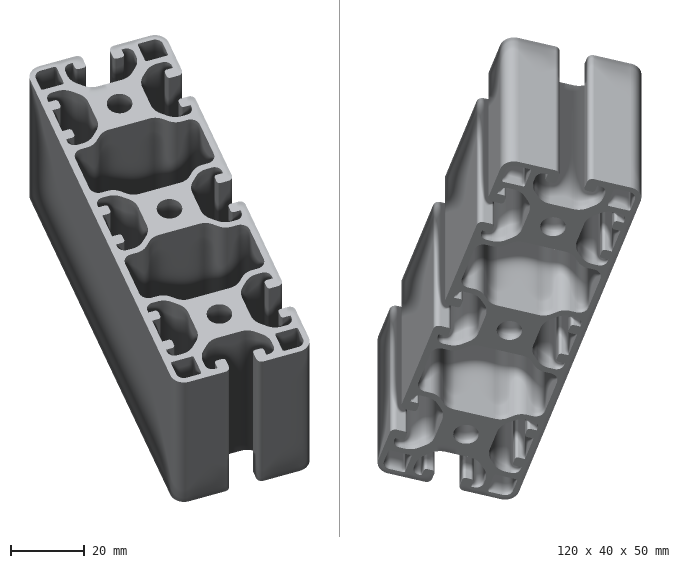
import cadquery as cq

LENGTH = 120.0
HEIGHT = 50.0
CELL_COUNT = 3
CELL = LENGTH / CELL_COUNT
HALF_CELL = CELL / 2
OUTER_RADIUS = 4.0

FLOOR_DISTANCE = 7.8
SLOT_CEILING = 18.0
SLOT_HALF_WIDTH = 10.0
SLANT_START = 5.5
SLANT_RADIUS = 5.0
CEILING_RADIUS = 2.2

OPENING_HALF_WIDTH = 4.0
LIP_WIDTH = 3.1
LIP_TIP_DISTANCE = 15.4
LIP_TIP_RADIUS = 0.8
MOUTH_RADIUS = 1.5

WEB_THICKNESS = 1.8
CAVITY_HALF_WIDTH = HALF_CELL - FLOOR_DISTANCE
CAVITY_NECK_HALF_WIDTH = HALF_CELL - SLOT_HALF_WIDTH - WEB_THICKNESS
CAVITY_SLANT_START = 7.8
CAVITY_BEND_RADIUS = 4.5
CAVITY_CORNER_RADIUS = 2.6

HOLLOW_INNER = SLOT_HALF_WIDTH + WEB_THICKNESS
HOLLOW_OUTER = 18.4
HOLLOW_OUTER_RADIUS = 2.3
HOLLOW_SIDE_RADIUS = 0.5

CORE_HOLE_RADIUS = 3.5


def box_between(x_low, x_high, y_low, y_high):
    """Full-height block between two X and two Y limits."""
    return (
        cq.Workplane("XY")
        .center((x_low + x_high) / 2, (y_low + y_high) / 2)
        .rect(x_high - x_low, y_high - y_low)
        .extrude(HEIGHT)
    )


def slot_chamber():
    """Undercut chamber of a slot facing +Y, without lips or opening."""
    slant_end = FLOOR_DISTANCE + SLOT_HALF_WIDTH - SLANT_START
    chamber = (
        cq.Workplane("XY")
        .polyline([
            (-SLANT_START, FLOOR_DISTANCE),
            (SLANT_START, FLOOR_DISTANCE),
            (SLOT_HALF_WIDTH, slant_end),
            (SLOT_HALF_WIDTH, SLOT_CEILING),
            (-SLOT_HALF_WIDTH, SLOT_CEILING),
            (-SLOT_HALF_WIDTH, slant_end),
        ])
        .close()
        .extrude(HEIGHT)
    )
    chamber = chamber.faces(">Y").edges("|Z").fillet(CEILING_RADIUS)
    bends = cq.selectors.BoxSelector(
        (-CELL, 0, -HEIGHT), (CELL, slant_end + CEILING_RADIUS, 2 * HEIGHT)
    )
    return chamber.edges("|Z").edges(bends).fillet(SLANT_RADIUS)


def lip(side, outer_end):
    """One lip from its rounded tip out to outer_end; side is -1 or +1."""
    near = side * OPENING_HALF_WIDTH
    far = side * (OPENING_HALF_WIDTH + LIP_WIDTH)
    block = box_between(min(near, far), max(near, far), LIP_TIP_DISTANCE, outer_end)
    return block.faces("<Y").edges("|Z").fillet(LIP_TIP_RADIUS)


def closed_slot():
    """Slot void whose opening is closed by a continuous outer wall."""
    void = slot_chamber()
    for side in (-1, 1):
        void = void.cut(lip(side, SLOT_CEILING))
    return void


def open_slot():
    """Slot void with an opening that is rounded at the outer face."""
    throat = box_between(-OPENING_HALF_WIDTH, OPENING_HALF_WIDTH, SLOT_CEILING, HALF_CELL)
    mouth_half_width = OPENING_HALF_WIDTH + MOUTH_RADIUS
    mouth_start = HALF_CELL - MOUTH_RADIUS
    mouth = box_between(-mouth_half_width, mouth_half_width, mouth_start, HALF_CELL)
    for side in (-1, 1):
        rounding = cq.Workplane("XY").center(side * mouth_half_width, mouth_start)
        mouth = mouth.cut(rounding.circle(MOUTH_RADIUS).extrude(HEIGHT))
    return closed_slot().union(throat).union(mouth)


def middle_cavity():
    """Large void between two cells, centred on the origin."""
    neck_start = CAVITY_SLANT_START + CAVITY_HALF_WIDTH - CAVITY_NECK_HALF_WIDTH
    quarter = [
        (CAVITY_HALF_WIDTH, CAVITY_SLANT_START),
        (CAVITY_NECK_HALF_WIDTH, neck_start),
        (CAVITY_NECK_HALF_WIDTH, SLOT_CEILING),
    ]
    upper = quarter + [(-x, y) for x, y in reversed(quarter)]
    lower = [(-x, -y) for x, y in upper]
    cavity = cq.Workplane("XY").polyline(upper + lower).close().extrude(HEIGHT)
    cavity = cavity.faces(">Y or <Y").edges("|Z").fillet(CAVITY_CORNER_RADIUS)
    bend_limit = neck_start + CAVITY_CORNER_RADIUS
    bends = cq.selectors.BoxSelector(
        (-CELL, -bend_limit, -HEIGHT), (CELL, bend_limit, 2 * HEIGHT)
    )
    return cavity.edges("|Z").edges(bends).fillet(CAVITY_BEND_RADIUS)


def corner_hollow():
    """Hollow in the +X +Y corner of a cell centred on the origin."""
    hollow = box_between(HOLLOW_INNER, HOLLOW_OUTER, HOLLOW_INNER, HOLLOW_OUTER)
    hollow = hollow.edges("|Z").edges(">(1, 1, 0)").fillet(HOLLOW_OUTER_RADIUS)
    for corner in ("<(1, 1, 0)", ">(1, -1, 0)", "<(1, -1, 0)"):
        hollow = hollow.edges("|Z").edges(corner).fillet(HOLLOW_SIDE_RADIUS)
    return hollow


cell_centres = [(index - (CELL_COUNT - 1) / 2) * CELL for index in range(CELL_COUNT)]

result = cq.Workplane("XY").rect(LENGTH, CELL).extrude(HEIGHT).edges("|Z").fillet(OUTER_RADIUS)

for x in cell_centres:
    core_hole = cq.Workplane("XY").circle(CORE_HOLE_RADIUS).extrude(HEIGHT)
    facing_down = closed_slot().mirror("XZ")
    for void in (open_slot(), facing_down, core_hole):
        result = result.cut(void.translate((x, 0, 0)))

for left, right in zip(cell_centres, cell_centres[1:]):
    result = result.cut(middle_cavity().translate(((left + right) / 2, 0, 0)))

facing_right = open_slot().rotate((0, 0, 0), (0, 0, 1), -90)
for void in (facing_right, corner_hollow(), corner_hollow().mirror("XZ")):
    end_void = void.translate((cell_centres[-1], 0, 0))
    result = result.cut(end_void).cut(end_void.mirror("YZ"))